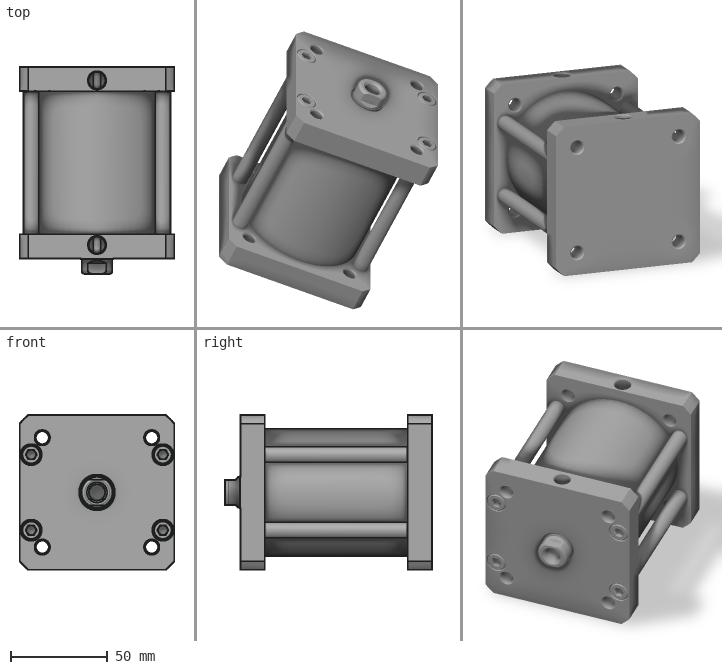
import cadquery as cq
import math


total_length = 107.0
plate_thickness = 12.6
rod_protrusion = 8.0
front_face_y = -(total_length - rod_protrusion) / 2
front_inner_y = front_face_y + plate_thickness
rear_face_y = -front_face_y
rear_inner_y = rear_face_y - plate_thickness
rod_end_y = front_face_y - rod_protrusion

plate_side = 80.0
plate_corner_diameter = 107.0
mount_pitch = 56.5
mount_thread_diameter = 6.65
mount_rim_diameter = 8.0

drill_point_angle = 118.0

port_diameter = 8.57
port_rim_diameter = 9.5
port_depth = 10.0
port_from_outer_face = 7.0
port_bar_diameter = 4.0

tube_outer_diameter = 66.0
tube_bore_diameter = 63.0

tie_offset_x = 34.0
tie_offset_z = 19.5
tie_diameter = 8.0
tie_shoulder_gap = 0.3
tie_thread_diameter = 4.92
tie_thread_engagement = 8.0
tie_end_y = rear_inner_y + tie_thread_engagement
tie_head_diameter = 10.0
tie_head_height = 6.0
tie_head_chamfer = 0.5
tie_head_recess_diameter = 10.5
tie_head_rim_diameter = 11.0
tie_socket_width = 5.0
tie_socket_depth = 3.0

rod_diameter = 16.0
rod_length = 60.0
rod_end_fillet = 1.6
flat_width = 13.0
flat_length = 5.5
rod_thread_diameter = 8.38
rod_thread_rim_diameter = 10.5
rod_thread_depth = 20.0
rod_thread_floor_angle = 160.0

wiper_groove_diameter = 17.7
wiper_rim_diameter = 18.5
wiper_groove_depth = 1.0
wiper_lip_diameter = 16.54
wiper_lip_protrusion = 0.4


def y_cylinder(diameter, y_start, y_end, x=0.0, z=0.0):
    """Cylinder along Y from y_start to y_end, centred on (x, z)."""
    start = cq.Vector(x, y_start, z)
    solid = cq.Solid.makeCylinder(diameter / 2, y_end - y_start, start, cq.Vector(0, 1, 0))
    return cq.Workplane(obj=solid)


def cone(start_diameter, end_diameter, height, start, direction):
    """Cone from start_diameter at the start point to end_diameter one height further on."""
    solid = cq.Solid.makeCone(
        start_diameter / 2, end_diameter / 2, height, cq.Vector(*start), cq.Vector(*direction)
    )
    return cq.Workplane(obj=solid)


def rim(rim_diameter, hole_diameter, start, direction):
    """45 degree countersink at a hole's mouth."""
    depth = (rim_diameter - hole_diameter) / 2
    return cone(rim_diameter, hole_diameter, depth, start, direction)


def drill_point(diameter, start, direction, included_angle=drill_point_angle):
    """Conical tip at the bottom of a drilled hole."""
    height = diameter / 2 / math.tan(math.radians(included_angle / 2))
    return cone(diameter, 0, height, start, direction)


def tie_positions():
    return [(x, z) for x in (-tie_offset_x, tie_offset_x) for z in (-tie_offset_z, tie_offset_z)]


def mount_positions():
    half_pitch = mount_pitch / 2
    return [(x, z) for x in (-half_pitch, half_pitch) for z in (-half_pitch, half_pitch)]


def plate_blank(y_start):
    """Square plate with corners turned to a round and four through holes, countersunk on both faces."""
    y_end = y_start + plate_thickness
    square = (
        cq.Workplane("XY")
        .box(plate_side, plate_thickness, plate_side)
        .translate((0, y_start + plate_thickness / 2, 0))
    )
    plate = square.intersect(y_cylinder(plate_corner_diameter, y_start, y_end))
    for x, z in mount_positions():
        plate = plate.cut(y_cylinder(mount_thread_diameter, y_start, y_end, x, z))
        plate = plate.cut(rim(mount_rim_diameter, mount_thread_diameter, (x, y_start, z), (0, 1, 0)))
        plate = plate.cut(rim(mount_rim_diameter, mount_thread_diameter, (x, y_end, z), (0, -1, 0)))
    return plate


def add_port(plate, port_y):
    """Drill the air port down from the top face, leaving a thin round bar across it."""
    top_z = plate_side / 2
    floor_z = top_z - port_depth
    down = (0, 0, -1)
    port = cq.Workplane("XY", origin=(0, port_y, floor_z)).circle(port_diameter / 2).extrude(port_depth)
    port = port.union(drill_point(port_diameter, (0, port_y, floor_z), down))
    port = port.union(rim(port_rim_diameter, port_diameter, (0, port_y, top_z), down))
    half_span = port_diameter / 2
    bar = y_cylinder(port_bar_diameter, port_y - half_span, port_y + half_span, z=floor_z)
    return plate.cut(port.cut(bar))


def make_front_plate():
    plate = add_port(plate_blank(front_face_y), front_face_y + port_from_outer_face)

    inward = (0, 1, 0)
    for x, z in tie_positions():
        recess_end_y = front_face_y + tie_head_height
        plate = plate.cut(y_cylinder(tie_diameter, front_face_y, front_inner_y, x, z))
        plate = plate.cut(y_cylinder(tie_head_recess_diameter, front_face_y, recess_end_y, x, z))
        plate = plate.cut(rim(tie_head_rim_diameter, tie_head_recess_diameter, (x, front_face_y, z), inward))

    groove_end_y = front_face_y + wiper_groove_depth
    plate = plate.cut(y_cylinder(wiper_groove_diameter, front_face_y, groove_end_y))
    plate = plate.cut(rim(wiper_rim_diameter, wiper_groove_diameter, (0, front_face_y, 0), inward))
    lip_y = front_face_y - wiper_lip_protrusion
    plate = plate.union(y_cylinder(wiper_lip_diameter, lip_y, groove_end_y))
    return plate.cut(y_cylinder(rod_diameter, lip_y, front_inner_y))


def make_rear_plate():
    plate = add_port(plate_blank(rear_inner_y), rear_face_y - port_from_outer_face)
    for x, z in tie_positions():
        plate = plate.cut(y_cylinder(tie_thread_diameter, rear_inner_y, tie_end_y, x, z))
    return plate


def make_tube():
    outside = y_cylinder(tube_outer_diameter, front_inner_y, rear_inner_y)
    return outside.cut(y_cylinder(tube_bore_diameter, front_inner_y, rear_inner_y))


def make_tie_rod(x, z):
    """Tie rod with a sunk socket head at the front and a thinner end in the rear plate."""
    head_end_y = front_face_y + tie_head_height
    head = y_cylinder(tie_head_diameter, front_face_y, head_end_y, x, z)
    head = head.faces("<Y").edges().chamfer(tie_head_chamfer)
    shoulder_y = rear_inner_y - tie_shoulder_gap
    rod = head.union(y_cylinder(tie_diameter, head_end_y, shoulder_y, x, z))
    rod = rod.union(y_cylinder(tie_thread_diameter, shoulder_y, tie_end_y, x, z))

    socket_corner_diameter = tie_socket_width / math.cos(math.pi / 6)
    socket_floor_y = front_face_y + tie_socket_depth
    socket = (
        cq.Workplane("XZ", origin=(x, front_face_y, z))
        .polygon(6, socket_corner_diameter)
        .extrude(-tie_socket_depth)
    )
    socket = socket.union(drill_point(tie_socket_width, (x, socket_floor_y, z), (0, 1, 0)))
    return rod.cut(socket)


def make_piston_rod():
    rod = y_cylinder(rod_diameter, rod_end_y, rod_end_y + rod_length)
    rod = rod.faces("<Y").edges().fillet(rod_end_fillet)

    flat_z = flat_width / 2
    flat_end_y = rod_end_y + flat_length
    runout = rod_diameter / 2 - flat_z
    flat = (
        cq.Workplane("YZ")
        .moveTo(rod_end_y, flat_z)
        .lineTo(flat_end_y, flat_z)
        .lineTo(flat_end_y + runout, flat_z + runout)
        .lineTo(rod_end_y, flat_z + runout)
        .close()
        .extrude(rod_diameter / 2, both=True)
    )
    rod = rod.cut(flat).cut(flat.mirror("XY"))

    inward = (0, 1, 0)
    hole_floor_y = rod_end_y + rod_thread_depth
    rod = rod.cut(y_cylinder(rod_thread_diameter, rod_end_y, hole_floor_y))
    floor_centre = (0, hole_floor_y, 0)
    rod = rod.cut(drill_point(rod_thread_diameter, floor_centre, inward, rod_thread_floor_angle))
    return rod.cut(rim(rod_thread_rim_diameter, rod_thread_diameter, (0, rod_end_y, 0), inward))


front_plate = make_front_plate()
rear_plate = make_rear_plate()
tube = make_tube()
piston_rod = make_piston_rod()
tie_rods = [make_tie_rod(x, z) for x, z in tie_positions()]

result = cq.Compound.makeCompound([
    front_plate.val(),
    rear_plate.val(),
    tube.val(),
    piston_rod.val(),
    *[tie_rod.val() for tie_rod in tie_rods],
])